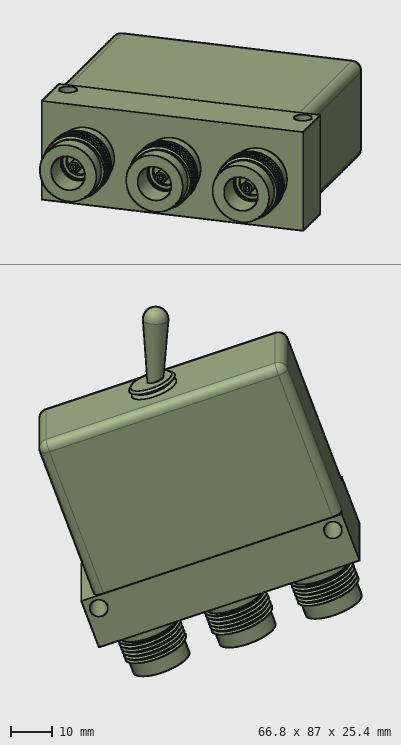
import cadquery as cq
import math

overall_length = 87.0

block_width = 66.8
block_depth = 12.7
block_height = 25.4
mount_hole_dia = 4.35
mount_hole_spacing = 60.0
mount_hole_y = 9.6

housing_width = 63.6
housing_height = 24.9
housing_back_y = 54.0
housing_edge_radius = 2.4

connector_count = 3
connector_pitch = 22.1
connector_dia = 14.4
connector_length = 13.2
thread_dia = 15.8
thread_pitch = 1.05
thread_front_y = -9.4
thread_back_y = -3.7
thread_root_overlap = 0.2
thread_root_fill = 0.96
mouth_dia = 8.6
mouth_depth = 7.0
seat_dia = 8.2
seat_depth = 7.8
bore_dia = 6.35
bore_depth = 8.7
pin_dia = 2.7
pin_recess = 4.35
pin_hole_dia = 0.9
pin_countersink_dia = 1.65
pin_hole_depth = 2.6

bushing_height = 2.1
bushing_rim_dia = 10.6
bushing_crest_dia = 11.8
bushing_crest_height = 1.5
bushing_root_dia = 9.6
bushing_root_height = 0.7
bushing_foot_dia = 11.5
bushing_embed = 1.7

lever_tilt = 20.0
lever_ball_dia = 6.3
lever_pivot_dia = 3.5
lever_pivot_y = 53.2
lever_ball_y = overall_length - connector_length - lever_ball_dia / 2
lever_length = (lever_ball_y - lever_pivot_y) / math.cos(math.radians(lever_tilt))


def cylinder(dia, start_y, end_y):
    """Solid cylinder on the Y axis."""
    return cq.Workplane("XZ", origin=(0, end_y, 0)).circle(dia / 2).extrude(end_y - start_y)


def make_block():
    block = cq.Workplane("XY").box(block_width, block_depth, block_height, centered=(True, False, True))
    holes = (
        cq.Workplane("XY", origin=(0, mount_hole_y, 0))
        .rarray(mount_hole_spacing, 0.9, 2, 1)
        .circle(mount_hole_dia / 2)
        .extrude(block_height, both=True)
    )
    return block.cut(holes)


def make_housing():
    housing_length = housing_back_y - block_depth
    housing = cq.Workplane("XY").box(
        housing_width, housing_length, housing_height, centered=(True, False, True)
    )
    housing = housing.edges("|Y or >Y").fillet(housing_edge_radius)
    return housing.translate(((housing_width - block_width) / 2, block_depth, 0))


def make_thread():
    """Right-handed V thread with both ends trimmed flat; the tooth root is buried in the barrel."""
    root_radius = connector_dia / 2 - thread_root_overlap
    crest_radius = thread_dia / 2
    sweep_length = thread_back_y - thread_front_y + 2 * thread_pitch
    half_root = thread_root_fill * thread_pitch / 2
    path = cq.Workplane(cq.Wire.makeHelix(thread_pitch, sweep_length, root_radius))
    coil = (
        cq.Workplane("XZ")
        .polyline([(root_radius, -half_root), (crest_radius, 0), (root_radius, half_root)])
        .close()
        .sweep(path, isFrenet=True)
        .rotate((0, 0, 0), (1, 0, 0), -90)
        .translate((0, thread_front_y - thread_pitch, 0))
    )
    return coil.intersect(cylinder(thread_dia + thread_pitch, thread_front_y, thread_back_y))


def make_connector():
    front_y = -connector_length
    connector = cylinder(connector_dia, front_y, 0).union(make_thread())
    for dia, depth in ((mouth_dia, mouth_depth), (seat_dia, seat_depth), (bore_dia, bore_depth)):
        connector = connector.cut(cylinder(dia, front_y, front_y + depth))
    pin_front_y = front_y + pin_recess
    pin = cylinder(pin_dia, pin_front_y, 0)
    pin_hole = cylinder(pin_hole_dia, pin_front_y, pin_front_y + pin_hole_depth)
    countersink_size = (pin_countersink_dia - pin_hole_dia) / 2
    socket = pin.cut(pin_hole).faces("<Y").edges(cq.selectors.RadiusNthSelector(0))
    return connector.union(socket.chamfer(countersink_size))


def make_bushing():
    profile = [
        (0, -bushing_embed),
        (bushing_foot_dia / 2, -bushing_embed),
        (bushing_foot_dia / 2, 0),
        (bushing_root_dia / 2, bushing_root_height),
        (bushing_crest_dia / 2, bushing_crest_height),
        (bushing_rim_dia / 2, bushing_height),
        (0, bushing_height),
    ]
    bushing = cq.Workplane("XY").polyline(profile).close().revolve(360, (0, 0, 0), (0, 1, 0))
    return bushing.translate((0, housing_back_y, 0))


def make_lever():
    ball_radius = lever_ball_dia / 2
    lever = (
        cq.Workplane("XY")
        .lineTo(lever_pivot_dia / 2, 0)
        .lineTo(ball_radius, lever_length)
        .radiusArc((0, lever_length + ball_radius), -ball_radius)
        .close()
        .revolve(360, (0, 0, 0), (0, 1, 0))
    )
    return lever.rotate((0, 0, 0), (0, 0, 1), lever_tilt).translate((0, lever_pivot_y, 0))


result = make_block().union(make_housing()).union(make_bushing()).union(make_lever())
connector = make_connector()
for index in range(connector_count):
    connector_x = (index - (connector_count - 1) / 2) * connector_pitch
    result = result.union(connector.translate((connector_x, 0, 0)))